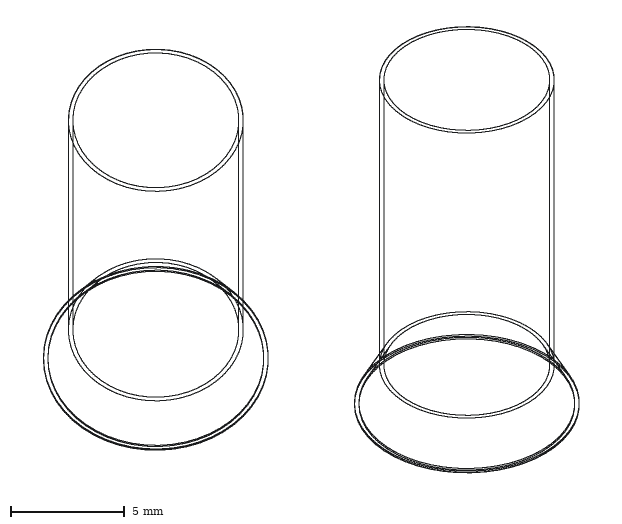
import cadquery as cq

total_height = 18.0
tube_diameter = 7.7
wall = 0.2
flare_diameter = 9.9
flare_height = 2.2
rim_height = 0.09

bottom = -total_height / 2
rim_top = bottom + rim_height
flare_top = bottom + flare_height
top = total_height / 2

tube_radius = tube_diameter / 2
bore_radius = tube_radius - wall
flare_radius = flare_diameter / 2
flare_bore_radius = flare_radius - wall

wall_section = (
    cq.Workplane("XZ")
    .moveTo(flare_bore_radius, bottom)
    .lineTo(flare_radius, bottom)
    .lineTo(flare_radius, rim_top)
    .lineTo(tube_radius, flare_top)
    .lineTo(tube_radius, top)
    .lineTo(bore_radius, top)
    .lineTo(bore_radius, flare_top)
    .lineTo(flare_bore_radius, rim_top)
    .close()
)

result = wall_section.revolve(360, (0, 0, 0), (0, 1, 0))